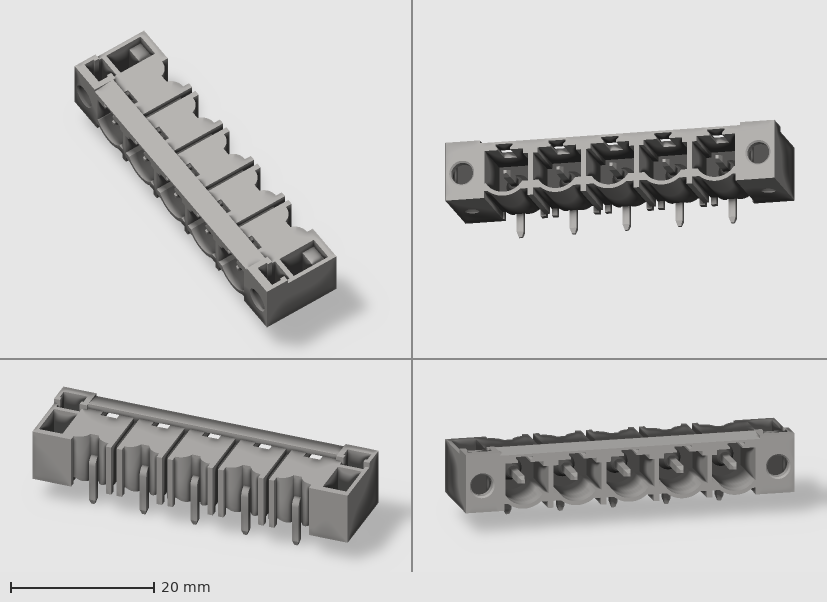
import cadquery as cq
import math

length = 47.3
depth = 11.75
contact_count = 5
pitch = 7.6
axis_height = 3.85
end_width = 5.6
roof_height = 7.65
crest_height = 8.4

band_front_height = 8.0
band_crest_start = 3.0
band_depth = 3.1
raised_end_width = 4.95
raised_end_depth = 3.55

belly_height = 1.0
belly_radius = 3.7
cavity_radius = 3.1
cavity_top = 6.8
cavity_shoulder = 6.1
cavity_ledge = 2.15
cavity_half_width = 3.45
cavity_top_half_width = 2.75
cavity_depth = 8.4

gap_width = 0.8
gap_floor = 6.75
web_depth = 9.8

rear_leg_depth = 1.0
recess_half_width = 2.6
recess_arc_start = 2.35
recess_arc_middle = (1.2, 1.5)
recess_slot_half_width = 0.6
recess_depth = 2.4

groove_depth = 4.1
groove_half_width = 1.25
groove_opening_half_width = 0.9
groove_wall_height = 7.4
groove_opening_height = 7.1

pocket_width = 3.55
pocket_center = 2.35
nut_pocket_front = 1.3
nut_pocket_rear = 4.25
nut_rib_front = 2.85
nut_rib_gap = 3.0
nut_pocket_floor = belly_height
screw_radius = 1.55
screw_chamfer = 0.25
rear_pocket_front = 4.95
rear_pocket_step = 8.85
rear_pocket_rear = 10.8
rear_pocket_floor = belly_height
rear_step_height = 6.1
mount_hole_y = 6.05
mount_hole_radius = 1.0

boss_front = 6.52
boss_root_radius = 1.7
boss_shoulder_radius = 1.05
boss_tip_radius = 0.8
boss_chamfer = boss_shoulder_radius - boss_tip_radius

wire = 1.0
contact_front = 0.7
contact_tip = 0.45
contact_front_taper = 1.2
leg_taper = 0.75
leg_bottom = -3.15
bend_radius = 1.2

half_length = length / 2
inner_end = half_length - end_width
body_rear = depth - rear_leg_depth
leg_front = depth - recess_depth
leg_center = leg_front + wire / 2
contact_places = [(i - (contact_count - 1) / 2) * pitch for i in range(contact_count)]
gap_places = [x + pitch / 2 for x in contact_places[:-1]]
row_half_length = half_length - raised_end_width


def block(x_range, y_range, z_range):
    """Box between the given limits."""
    (x0, x1), (y0, y1), (z0, z1) = x_range, y_range, z_range
    return cq.Workplane("XY").box(x1 - x0, y1 - y0, z1 - z0, centered=False).translate((x0, y0, z0))


def along_y(start=0.0):
    """Sketch plane of X and Z at Y = start; a negative extrusion runs to the rear."""
    return cq.Workplane("XZ", origin=(0, start, 0))


def both_ends(shape):
    """The shape of the left end together with its mirror image at the right end."""
    return shape.union(shape.mirror("YZ"))


def flange_end():
    """Left flange block with its raised front part."""
    lower = block((-half_length, -inner_end), (0, depth), (0, roof_height))
    raised = block(
        (-half_length, -row_half_length), (0, raised_end_depth), (belly_height, crest_height)
    )
    return lower.union(raised)


def front_band():
    """Band that rises from the mating face to a narrow flat crest."""
    return (
        cq.Workplane("YZ", origin=(-row_half_length, 0, 0))
        .moveTo(0, cavity_top)
        .lineTo(0, band_front_height)
        .lineTo(band_crest_start, crest_height)
        .lineTo(band_depth, crest_height)
        .lineTo(band_depth, cavity_top)
        .close()
        .extrude(2 * row_half_length)
    )


def belly(x):
    """Round lower shell of one module."""
    return along_y().center(x, axis_height).circle(belly_radius).extrude(-body_rear)


def rear_leg(x, side):
    """Post at the rear of a module, reaching from the seating plane to the roof."""
    edges = sorted((x + side * recess_half_width, x + side * pitch / 2))
    return block(edges, (body_rear, depth), (0, roof_height))


def web(x):
    """Foot below the partition between two modules."""
    return block((x - gap_width / 2, x + gap_width / 2), (0, web_depth), (0, cavity_ledge))


def cavity(x):
    """Mating cavity: stepped at the top and round at the bottom."""
    arc_half_width = math.sqrt(cavity_radius**2 - (axis_height - cavity_ledge) ** 2)
    return (
        along_y()
        .center(x, 0)
        .moveTo(-cavity_top_half_width, cavity_top)
        .lineTo(cavity_top_half_width, cavity_top)
        .lineTo(cavity_top_half_width, cavity_shoulder)
        .lineTo(cavity_half_width, cavity_shoulder)
        .lineTo(cavity_half_width, cavity_ledge)
        .lineTo(arc_half_width, cavity_ledge)
        .threePointArc((0, axis_height - cavity_radius), (-arc_half_width, cavity_ledge))
        .lineTo(-cavity_half_width, cavity_ledge)
        .lineTo(-cavity_half_width, cavity_shoulder)
        .lineTo(-cavity_top_half_width, cavity_shoulder)
        .close()
        .extrude(-cavity_depth)
    )


def boss(x):
    """Conical boss standing on the cavity floor, with a chamfered tip."""
    return (
        cq.Workplane("XY", origin=(x, 0, axis_height))
        .moveTo(0, boss_front)
        .lineTo(boss_tip_radius, boss_front)
        .lineTo(boss_shoulder_radius, boss_front + boss_chamfer)
        .lineTo(boss_root_radius, cavity_depth)
        .lineTo(0, cavity_depth)
        .close()
        .revolve(360, (0, 0, 0), (0, 1, 0))
    )


def coding_groove(x):
    """Groove through the roof of one module, narrowing to its opening into the cavity."""
    return (
        along_y()
        .center(x, 0)
        .moveTo(-groove_half_width, roof_height)
        .lineTo(-groove_half_width, groove_wall_height)
        .lineTo(-groove_opening_half_width, groove_opening_height)
        .lineTo(-groove_opening_half_width, cavity_top)
        .lineTo(groove_opening_half_width, cavity_top)
        .lineTo(groove_opening_half_width, groove_opening_height)
        .lineTo(groove_half_width, groove_wall_height)
        .lineTo(groove_half_width, roof_height)
        .close()
        .extrude(-groove_depth)
    )


def module_gap(x):
    """Slot between two modules, open to the full height behind the web."""
    edges = (x - gap_width / 2, x + gap_width / 2)
    upper = block(edges, (band_depth, depth), (gap_floor, roof_height))
    rear = block(edges, (web_depth, depth), (0, roof_height))
    return upper.union(rear)


def rear_recess(x):
    """Opening around a contact leg, narrowing along two arcs to a slot."""
    arc_x, arc_inset = recess_arc_middle
    return (
        cq.Workplane("XY", origin=(x, depth, 0))
        .moveTo(-recess_arc_start, 0)
        .lineTo(-recess_arc_start, -rear_leg_depth)
        .threePointArc((-arc_x, -arc_inset), (-recess_slot_half_width, -recess_depth))
        .lineTo(recess_slot_half_width, -recess_depth)
        .threePointArc((arc_x, -arc_inset), (recess_arc_start, -rear_leg_depth))
        .lineTo(recess_arc_start, 0)
        .close()
        .extrude(crest_height)
    )


def flange_openings():
    """Nut pocket, screw hole, stepped rear pocket and mounting hole of the left flange."""
    center = pocket_center - half_length
    sides = (center - pocket_width / 2, center + pocket_width / 2)
    rib_sides = (center - nut_rib_gap / 2, center + nut_rib_gap / 2)
    nut_height = (nut_pocket_floor, crest_height)
    nut_pocket = (
        block(sides, (nut_pocket_front, nut_rib_front), nut_height)
        .union(block(rib_sides, (nut_rib_front, raised_end_depth), nut_height))
        .union(block(sides, (raised_end_depth, nut_pocket_rear), nut_height))
    )
    screw_hole = (
        cq.Workplane("XY", origin=(center, 0, axis_height))
        .lineTo(screw_radius + screw_chamfer, 0)
        .lineTo(screw_radius, screw_chamfer)
        .lineTo(screw_radius, nut_pocket_front)
        .lineTo(0, nut_pocket_front)
        .close()
        .revolve(360, (0, 0, 0), (0, 1, 0))
    )
    rear_pocket = block(
        sides, (rear_pocket_front, rear_pocket_step), (rear_pocket_floor, roof_height)
    ).union(block(sides, (rear_pocket_step, rear_pocket_rear), (rear_step_height, roof_height)))
    mount_hole = (
        cq.Workplane("XY").center(center, mount_hole_y).circle(mount_hole_radius).extrude(roof_height)
    )
    return nut_pocket.union(screw_hole).union(rear_pocket).union(mount_hole)


def contact_hole(x):
    """Square hole through the boss and the rear wall that holds one contact."""
    half = wire / 2
    return block(
        (x - half, x + half), (boss_front, leg_front), (axis_height - half, axis_height + half)
    )


def make_housing():
    body = block((-inner_end, inner_end), (0, body_rear), (belly_height, roof_height))
    body = body.union(both_ends(flange_end())).union(front_band())
    for x in contact_places:
        body = body.union(belly(x)).union(rear_leg(x, -1)).union(rear_leg(x, 1))
    for x in gap_places:
        body = body.union(web(x)).cut(module_gap(x))

    outer_wall = contact_places[-1] + cavity_top_half_width
    between_walls = block((-outer_wall, outer_wall), (0, depth), (0, crest_height))
    for x in contact_places:
        body = body.cut(cavity(x).intersect(between_walls)).union(boss(x))
        body = body.cut(coding_groove(x)).cut(rear_recess(x)).cut(contact_hole(x))
    return body.cut(both_ends(flange_openings()))


def make_contact(x):
    """Square wire bent down at the rear, tapered at the mating tip and the solder tip."""
    half = wire / 2
    taper_end = contact_front + contact_front_taper
    leg_taper_top = leg_bottom + leg_taper
    top = axis_height + half
    rear = leg_front + wire
    bend_inset = bend_radius * (1 - math.sqrt(0.5))
    bent_wire = (
        cq.Workplane("YZ", origin=(x - half, 0, 0))
        .moveTo(taper_end, top)
        .lineTo(rear - bend_radius, top)
        .threePointArc((rear - bend_inset, top - bend_inset), (rear, top - bend_radius))
        .lineTo(rear, leg_taper_top)
        .lineTo(leg_front, leg_taper_top)
        .lineTo(leg_front, axis_height - half)
        .lineTo(taper_end, axis_height - half)
        .close()
        .extrude(wire)
    )
    mating_tip = (
        along_y(taper_end)
        .center(x, axis_height)
        .rect(wire, wire)
        .workplane(offset=contact_front_taper)
        .rect(contact_tip, contact_tip)
        .loft()
    )
    solder_tip = (
        cq.Workplane("XY", origin=(x, leg_center, leg_taper_top))
        .rect(wire, wire)
        .workplane(offset=-leg_taper)
        .rect(contact_tip, contact_tip)
        .loft()
    )
    return bent_wire.union(mating_tip).union(solder_tip)


housing = make_housing().solids().val()
contacts = [make_contact(x).solids().val() for x in contact_places]

result = cq.Compound.makeCompound([housing, *contacts])